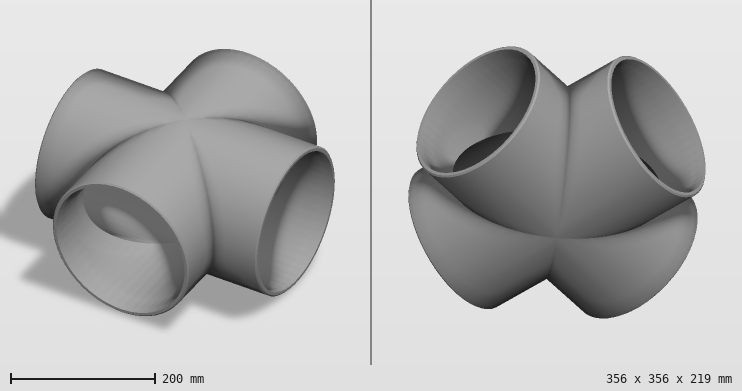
import cadquery as cq

length = 356.0
outer_diameter = 219.0
inner_diameter = 206.0
end_chamfer = 2.0


def cylinder_along_x(diameter):
    """Cylinder of the full pipe length, centred on the origin."""
    return cq.Workplane("YZ").circle(diameter / 2).extrude(length / 2, both=True)


def cross(pipe):
    """Join a pipe along X with its copy along Y."""
    return pipe.union(pipe.rotate((0, 0, 0), (0, 0, 1), 90))


outer_pipe = cylinder_along_x(outer_diameter).faces("<X or >X").edges().chamfer(end_chamfer)
bore = cylinder_along_x(inner_diameter)

result = cross(outer_pipe).cut(cross(bore))